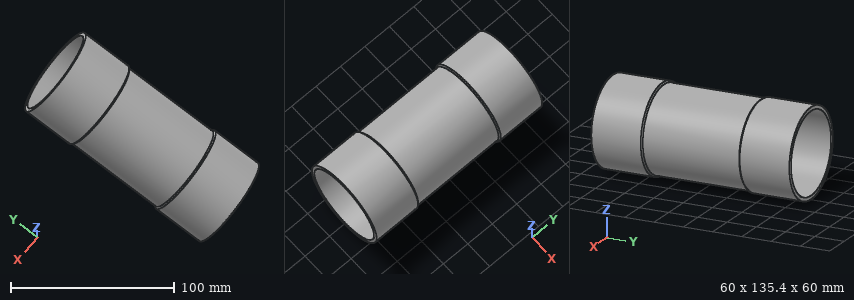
import cadquery as cq

length = 135.4
collar_diameter = 60.0
middle_diameter = 58.0
bore_diameter = 55.0

collar_length = 33.8
taper_length = 1.0

collar_radius = collar_diameter / 2
middle_radius = middle_diameter / 2
bore_radius = bore_diameter / 2
end_y = length / 2
collar_inner_y = end_y - collar_length
taper_inner_y = collar_inner_y - taper_length

half_section = (
    cq.Workplane("XY")
    .moveTo(bore_radius, -end_y)
    .lineTo(collar_radius, -end_y)
    .lineTo(collar_radius, -collar_inner_y)
    .lineTo(middle_radius, -taper_inner_y)
    .lineTo(middle_radius, taper_inner_y)
    .lineTo(collar_radius, collar_inner_y)
    .lineTo(collar_radius, end_y)
    .lineTo(bore_radius, end_y)
    .close()
)

result = half_section.revolve(360, (0, 0, 0), (0, 1, 0))